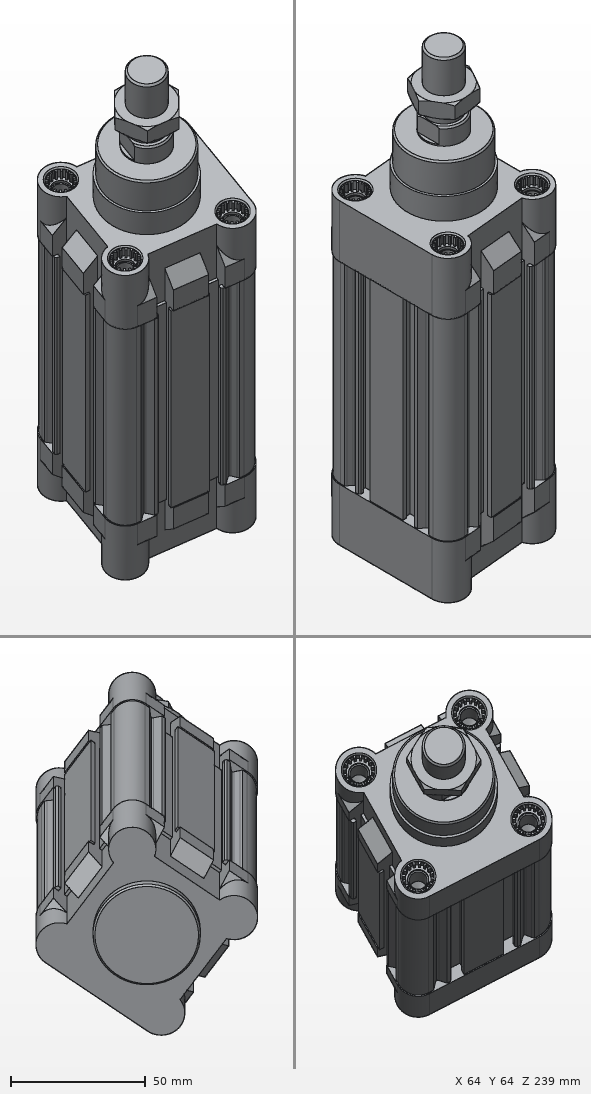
import cadquery as cq
import math


TOTAL_LENGTH = 239.0
SPIGOT_HEIGHT = 4.0
CAP_HEIGHT = 29.5
BARREL_LENGTH = 107.5
LOWER_COLLAR_HEIGHT = 12.0
UPPER_COLLAR_HEIGHT = 16.0
ROD_NECK_HEIGHT = 9.0

BARREL_BOTTOM = SPIGOT_HEIGHT + CAP_HEIGHT
BARREL_TOP = BARREL_BOTTOM + BARREL_LENGTH
CAP_TOP = BARREL_TOP + CAP_HEIGHT
LOWER_COLLAR_TOP = CAP_TOP + LOWER_COLLAR_HEIGHT
UPPER_COLLAR_TOP = LOWER_COLLAR_TOP + UPPER_COLLAR_HEIGHT
ROD_SHOULDER = UPPER_COLLAR_TOP + ROD_NECK_HEIGHT

CAP_HALF = 32.0
CAP_CORE_HALF = 25.8
BOSS_OFFSET = 23.25
BOSS_RADIUS = CAP_HALF - BOSS_OFFSET
BOSS_CENTRES = [(x * BOSS_OFFSET, y * BOSS_OFFSET) for x in (-1, 1) for y in (-1, 1)]
CENTRE_LUG_HALF_WIDTH = 7.6
CORNER_LUG_START = 14.8
LUG_HEIGHT = 11.5
LUG_RISE = CAP_HALF - CAP_CORE_HALF

BARREL_HALF = 31.5
SLOT_FLOOR = 27.0
SLOT_LIP = 2.0
SLOT_MOUTH = (8.4, 13.5)
SLOT_UNDERCUT = (CENTRE_LUG_HALF_WIDTH, CORNER_LUG_START)
PROFILE_CHAMFER = 0.7
GROOVE_START = 15.5
GROOVE_END = 20.5
GROOVE_FLOOR = (17.7, 19.1)
GROOVE_DEPTH = 2.5
GROOVE_TIP_DEPTH = 2.9

SPIGOT_DIAMETER = 40.0
SPIGOT_CHAMFER = 0.7
COLLAR_DIAMETER = 38.0
COLLAR_CHAMFER = 0.7

SOCKET_MOUTH_DIAMETER = 13.1
SOCKET_CHAMFER = 0.6
SPLINE_COUNT = 16
SPLINE_OUTER_RADIUS = 5.7
SPLINE_INNER_RADIUS = 4.8
SPLINE_SLOT_SHARE = 0.6
SPLINE_DEPTH = 4.8
SOCKET_STEP_DIAMETER = 8.0
SOCKET_STEP_DEPTH = 6.0
DRILL_DIAMETER = 6.7
DRILL_DEPTH = 19.1
DRILL_HALF_ANGLE = 59.0

ROD_DIAMETER = 20.0
ROD_CHAMFER = 0.7
ROD_FLATS = 17.0
FLATS_BOTTOM = UPPER_COLLAR_TOP + 0.7
THREAD_DIAMETER = 16.0
THREAD_CHAMFER = 0.84

NUT_BOTTOM = 213.2
NUT_HEIGHT = 8.0
NUT_FLATS = 24.0
NUT_CHAMFER_HEIGHT = 0.7
NUT_CHAMFER_WIDTH = 1.7


def cylinder(diameter, bottom, top):
    return cq.Workplane("XY", origin=(0, 0, bottom)).circle(diameter / 2).extrude(top - bottom)


def around_axis(shape, angle):
    return shape.rotate((0, 0, 0), (0, 0, 1), angle)


def make_lug(start, end):
    """Lug on the -Y side from X = start to X = end, sloping back to the core at its upper end."""
    outline = [
        (0, 0),
        (-CAP_HALF, 0),
        (-CAP_HALF, LUG_HEIGHT),
        (-CAP_CORE_HALF, LUG_HEIGHT + LUG_RISE),
        (0, LUG_HEIGHT + LUG_RISE),
    ]
    return cq.Workplane("YZ", origin=(start, 0, 0)).polyline(outline).close().extrude(end - start)


def make_cap():
    """Cap with its barrel side at Z = 0 and its outer face at Z = CAP_HEIGHT."""
    core = cq.Workplane("XY").rect(2 * CAP_CORE_HALF, 2 * CAP_CORE_HALF).extrude(CAP_HEIGHT)
    bosses = cq.Workplane("XY").pushPoints(BOSS_CENTRES).circle(BOSS_RADIUS).extrude(CAP_HEIGHT)
    flat_side = cq.Workplane("XY", origin=(0, CAP_HALF / 2, 0)).rect(2 * BOSS_OFFSET, CAP_HALF).extrude(CAP_HEIGHT)
    cap = core.union(bosses).union(flat_side)
    lugs = (
        make_lug(-CENTRE_LUG_HALF_WIDTH, CENTRE_LUG_HALF_WIDTH)
        .union(make_lug(CORNER_LUG_START, BOSS_OFFSET))
        .union(make_lug(-BOSS_OFFSET, -CORNER_LUG_START))
    )
    for angle in (-90, 0, 90):
        cap = cap.union(around_axis(lugs, angle))
    return cap


def make_slot_and_groove():
    """Cutter for one T-slot and one sensor groove in the +X half of the -Y side."""
    face = -BARREL_HALF
    lip = face + SLOT_LIP
    slot = [
        (SLOT_MOUTH[0], face),
        (SLOT_MOUTH[1] + PROFILE_CHAMFER, face),
        (SLOT_MOUTH[1], face + PROFILE_CHAMFER),
        (SLOT_MOUTH[1], lip),
        (SLOT_UNDERCUT[1], lip),
        (SLOT_UNDERCUT[1], -SLOT_FLOOR),
        (SLOT_UNDERCUT[0], -SLOT_FLOOR),
        (SLOT_UNDERCUT[0], lip),
        (SLOT_MOUTH[0], lip),
    ]
    groove = [
        (GROOVE_START, face),
        (GROOVE_END + PROFILE_CHAMFER, face),
        (GROOVE_END, face + PROFILE_CHAMFER),
        (GROOVE_FLOOR[1], face + GROOVE_DEPTH),
        (sum(GROOVE_FLOOR) / 2, face + GROOVE_TIP_DEPTH),
        (GROOVE_FLOOR[0], face + GROOVE_DEPTH),
    ]
    return cq.Workplane("XY").polyline(slot).close().polyline(groove).close().extrude(BARREL_LENGTH)


def make_barrel():
    barrel = cq.Workplane("XY").rect(2 * BARREL_HALF, 2 * BARREL_HALF).extrude(BARREL_LENGTH)
    barrel = barrel.edges("|Z").fillet(BARREL_HALF - BOSS_OFFSET)
    right_cutter = make_slot_and_groove()
    left_cutter = right_cutter.mirror("YZ")
    for angle in (0, 90, 180, 270):
        barrel = barrel.cut(around_axis(right_cutter, angle)).cut(around_axis(left_cutter, angle))
    return barrel


def make_socket():
    """Cutter for one screw socket with its mouth at Z = 0."""
    mouth_radius = SOCKET_MOUTH_DIAMETER / 2
    step_radius = SOCKET_STEP_DIAMETER / 2
    drill_radius = DRILL_DIAMETER / 2
    tip_depth = DRILL_DEPTH + drill_radius / math.tan(math.radians(DRILL_HALF_ANGLE))
    bore_outline = [
        (0, 0),
        (mouth_radius, 0),
        (mouth_radius - SOCKET_CHAMFER, -SOCKET_CHAMFER),
        (step_radius, -SOCKET_CHAMFER),
        (step_radius, -SOCKET_STEP_DEPTH),
        (drill_radius, -SOCKET_STEP_DEPTH),
        (drill_radius, -DRILL_DEPTH),
        (0, -tip_depth),
    ]
    bore = cq.Workplane("XZ").polyline(bore_outline).close().revolve(360, (0, 0, 0), (0, 1, 0))

    half_slot = SPLINE_SLOT_SHARE * math.pi / SPLINE_COUNT
    corners = [
        (SPLINE_INNER_RADIUS, -half_slot),
        (SPLINE_OUTER_RADIUS, -half_slot),
        (SPLINE_OUTER_RADIUS, half_slot),
        (SPLINE_INNER_RADIUS, half_slot),
    ]
    spline_outline = []
    for index in range(SPLINE_COUNT):
        middle = 2 * math.pi * index / SPLINE_COUNT
        for radius, offset in corners:
            spline_outline.append((radius * math.cos(middle + offset), radius * math.sin(middle + offset)))
    return bore.union(cq.Workplane("XY").polyline(spline_outline).close().extrude(-SPLINE_DEPTH))


def make_housing():
    front_cap = make_cap().translate((0, 0, BARREL_TOP))
    rear_cap = make_cap().mirror("XY").translate((0, 0, BARREL_BOTTOM))
    spigot = cylinder(SPIGOT_DIAMETER, 0, BARREL_BOTTOM).faces("<Z").chamfer(SPIGOT_CHAMFER)
    lower_collar = cylinder(SPIGOT_DIAMETER, BARREL_TOP, LOWER_COLLAR_TOP)
    upper_collar = cylinder(COLLAR_DIAMETER, BARREL_TOP, UPPER_COLLAR_TOP).faces(">Z").chamfer(COLLAR_CHAMFER)

    housing = make_barrel().translate((0, 0, BARREL_BOTTOM))
    for section in (front_cap, rear_cap, spigot, lower_collar, upper_collar):
        housing = housing.union(section)

    socket = make_socket()
    for x, y in BOSS_CENTRES:
        housing = housing.cut(socket.translate((x, y, CAP_TOP)))
    return housing.cut(cylinder(ROD_DIAMETER, BARREL_TOP, UPPER_COLLAR_TOP))


def make_rod():
    """Rod seated in the housing bore, from the front end of the barrel to the tip of the thread."""
    neck = cylinder(ROD_DIAMETER, BARREL_TOP, ROD_SHOULDER).faces(">Z").chamfer(ROD_CHAMFER)
    flat_cutter = (
        cq.Workplane("XY", origin=(0, 0, FLATS_BOTTOM))
        .rect(2 * ROD_DIAMETER, 2 * ROD_DIAMETER)
        .rect(2 * ROD_DIAMETER, ROD_FLATS)
        .extrude(ROD_SHOULDER - FLATS_BOTTOM)
    )
    thread = cylinder(THREAD_DIAMETER, BARREL_TOP, TOTAL_LENGTH).faces(">Z").chamfer(THREAD_CHAMFER)
    return neck.cut(flat_cutter).union(thread)


def make_nut():
    """Nut with its corners along Y, chamfered on both ends, with the rod thread as its hole."""
    across_corners = NUT_FLATS / math.cos(math.pi / 6)
    nut_top = NUT_BOTTOM + NUT_HEIGHT
    hexagon = cq.Workplane("XY", origin=(0, 0, NUT_BOTTOM)).polygon(6, across_corners).extrude(NUT_HEIGHT)
    envelope = (
        cylinder(across_corners, NUT_BOTTOM, nut_top)
        .edges("%CIRCLE")
        .chamfer(NUT_CHAMFER_HEIGHT, NUT_CHAMFER_WIDTH)
    )
    hole = cylinder(THREAD_DIAMETER, NUT_BOTTOM, nut_top)
    return around_axis(hexagon, 30).intersect(envelope).cut(hole)


housing = make_housing()
rod = make_rod()
nut = make_nut()
result = cq.Compound.makeCompound([housing.val(), rod.val(), nut.val()])